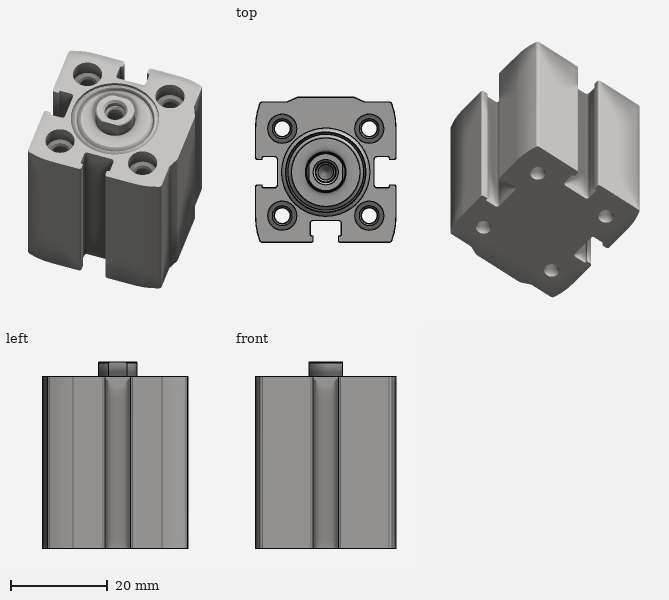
import cadquery as cq
import math

TOTAL_HEIGHT = 38.5
ROD_PROTRUSION = 3.0
HOUSING_HEIGHT = TOTAL_HEIGHT - ROD_PROTRUSION
HOUSING_WIDTH = 29.0
HALF_WIDTH = HOUSING_WIDTH / 2

SIDE_FLAT_HALF = 9.15
SIDE_CURVE_RADIUS = 14.45
CORNER_RADIUS = 0.65

BACK_RISE = 1.0
BACK_TOP_HALF = 5.75
BACK_BASE_HALF = 8.0
BACK_EDGE_RADIUS = 1.15

SLOT_OPENING = 5.2
SLOT_WIDTH = 6.4
SLOT_DEPTH = 4.5
SLOT_LIP = 1.4
SLOT_LIP_RADIUS = 0.45
SLOT_BACK_RADIUS = 0.58
SLOT_FRONT_RADIUS = 0.3

MOUNT_OFFSET = 8.97
COUNTERBORE_DIAMETER = 6.0
COUNTERBORE_DEPTH = 3.58
COUNTERSINK_DIAMETER = 4.12
THROUGH_DIAMETER = 3.25

GROOVE_OUTER_DIAMETER = 18.2
GROOVE_OUTER_DEPTH = 0.7
RIDGE_OUTER_DIAMETER = 16.6
RIDGE_INNER_DIAMETER = 16.4
RIDGE_DEPTH = 0.25
RIDGE_FOOT_DIAMETER = 16.0
RIDGE_FOOT_DEPTH = 0.45
VALLEY_DIAMETER = 15.65
VALLEY_DEPTH = 0.77
FACE_EDGE_DIAMETER = 14.4
FACE_EDGE_DEPTH = 0.35
FACE_DIAMETER = 14.1
FACE_DEPTH = 0.27

ROD_DIAMETER = 8.0
ROD_LENGTH = 19.25
ROD_CHAMFER = 0.2
ROD_HOLE_CHAMFER = 0.2
ROD_FLATS_WIDTH = 7.0
ROD_FLATS_LENGTH = 4.25
FLAT_RUNOUT_ANGLE = 30.0

BORE_MOUTH_DIAMETER = 5.2
BORE_DIAMETER = 4.3
BORE_DEPTH = 1.55
LEDGE_DIAMETER = 4.0
PILOT_DIAMETER = 3.25
PILOT_DEPTH = 6.93
DRILL_TIP_ANGLE = 118.0


def revolved(points):
    """Solid of revolution about Z from (diameter, height) points that start and end on the axis."""
    outline = [(diameter / 2, height) for diameter, height in points]
    return cq.Workplane("XZ").polyline(outline).close().revolve(360, (0, 0), (0, 1))


def housing_block():
    """Extruded outline with curved side ends, rounded corners and the raised back."""
    curve_rise = HALF_WIDTH - SIDE_FLAT_HALF
    full_angle = math.asin(curve_rise / SIDE_CURVE_RADIUS)

    def curve_point(angle):
        x = HALF_WIDTH - SIDE_CURVE_RADIUS * (1 - math.cos(angle))
        y = SIDE_FLAT_HALF + SIDE_CURVE_RADIUS * math.sin(angle)
        return x, y

    mid_x, mid_y = curve_point(full_angle / 2)
    end_x, end_y = curve_point(full_angle)
    block = (
        cq.Workplane("XY")
        .moveTo(HALF_WIDTH, -SIDE_FLAT_HALF)
        .lineTo(HALF_WIDTH, SIDE_FLAT_HALF)
        .threePointArc((mid_x, mid_y), (end_x, end_y))
        .lineTo(-end_x, end_y)
        .threePointArc((-mid_x, mid_y), (-HALF_WIDTH, SIDE_FLAT_HALF))
        .lineTo(-HALF_WIDTH, -SIDE_FLAT_HALF)
        .threePointArc((-mid_x, -mid_y), (-end_x, -end_y))
        .lineTo(end_x, -end_y)
        .threePointArc((mid_x, -mid_y), (HALF_WIDTH, -SIDE_FLAT_HALF))
        .close()
        .extrude(HOUSING_HEIGHT)
    )
    block = block.edges("|Z").edges(">Y or <Y").fillet(CORNER_RADIUS)
    raised_back = (
        cq.Workplane("XY")
        .polyline([
            (-BACK_BASE_HALF, 0),
            (-BACK_BASE_HALF, HALF_WIDTH),
            (-BACK_TOP_HALF, HALF_WIDTH + BACK_RISE),
            (BACK_TOP_HALF, HALF_WIDTH + BACK_RISE),
            (BACK_BASE_HALF, HALF_WIDTH),
            (BACK_BASE_HALF, 0),
        ])
        .close()
        .extrude(HOUSING_HEIGHT)
        .edges("|Z and >Y")
        .fillet(BACK_EDGE_RADIUS)
    )
    return block.union(raised_back)


def t_slot(angle):
    """Cutter for one T-slot in the -Y side, turned about Z by the angle."""
    lip_centre = -HALF_WIDTH + SLOT_LIP / 2
    inner_depth = SLOT_DEPTH - SLOT_LIP
    inner_centre = -HALF_WIDTH + SLOT_LIP + inner_depth / 2
    inner = (
        cq.Workplane("XY")
        .center(0, inner_centre)
        .rect(SLOT_WIDTH, inner_depth)
        .extrude(HOUSING_HEIGHT)
        .edges("|Z and >Y")
        .fillet(SLOT_BACK_RADIUS)
        .edges("|Z and <Y")
        .fillet(SLOT_FRONT_RADIUS)
    )
    opening = cq.Workplane("XY").center(0, lip_centre).rect(SLOT_OPENING, SLOT_LIP).extrude(HOUSING_HEIGHT)
    mouth_half = SLOT_OPENING / 2 + SLOT_LIP_RADIUS
    mouth = (
        cq.Workplane("XY")
        .center(0, -HALF_WIDTH + SLOT_LIP_RADIUS / 2)
        .rect(2 * mouth_half, SLOT_LIP_RADIUS)
        .extrude(HOUSING_HEIGHT)
    )
    lip_rounds = (
        cq.Workplane("XY")
        .pushPoints([(side * mouth_half, -HALF_WIDTH + SLOT_LIP_RADIUS) for side in (-1, 1)])
        .circle(SLOT_LIP_RADIUS)
        .extrude(HOUSING_HEIGHT)
    )
    cutter = inner.union(opening).union(mouth.cut(lip_rounds))
    return cutter.rotate((0, 0, 0), (0, 0, 1), angle)


def mounting_hole(x, y):
    """Cutter for one mounting hole, from the top face to the bottom face."""
    floor = HOUSING_HEIGHT - COUNTERBORE_DEPTH
    sink_bottom = floor - (COUNTERSINK_DIAMETER - THROUGH_DIAMETER) / 2
    cutter = revolved([
        (0, HOUSING_HEIGHT),
        (COUNTERBORE_DIAMETER, HOUSING_HEIGHT),
        (COUNTERBORE_DIAMETER, floor),
        (COUNTERSINK_DIAMETER, floor),
        (THROUGH_DIAMETER, sink_bottom),
        (THROUGH_DIAMETER, 0),
        (0, 0),
    ])
    return cutter.translate((x, y, 0))


def rod_opening():
    """Cutter for the ring groove, the recessed face and the chamfered rod hole."""
    face = HOUSING_HEIGHT - FACE_DEPTH
    return revolved([
        (0, HOUSING_HEIGHT),
        (GROOVE_OUTER_DIAMETER, HOUSING_HEIGHT),
        (GROOVE_OUTER_DIAMETER, HOUSING_HEIGHT - GROOVE_OUTER_DEPTH),
        (RIDGE_OUTER_DIAMETER, HOUSING_HEIGHT - RIDGE_DEPTH),
        (RIDGE_INNER_DIAMETER, HOUSING_HEIGHT - RIDGE_DEPTH),
        (RIDGE_FOOT_DIAMETER, HOUSING_HEIGHT - RIDGE_FOOT_DEPTH),
        (VALLEY_DIAMETER, HOUSING_HEIGHT - VALLEY_DEPTH),
        (FACE_EDGE_DIAMETER, HOUSING_HEIGHT - FACE_EDGE_DEPTH),
        (FACE_DIAMETER, face),
        (ROD_DIAMETER + 2 * ROD_HOLE_CHAMFER, face),
        (ROD_DIAMETER, face - ROD_HOLE_CHAMFER),
        (ROD_DIAMETER, TOTAL_HEIGHT - ROD_LENGTH),
        (0, TOTAL_HEIGHT - ROD_LENGTH),
    ])


def make_housing():
    body = housing_block()
    for angle in (-90, 0, 90):
        body = body.cut(t_slot(angle))
    for x in (-MOUNT_OFFSET, MOUNT_OFFSET):
        for y in (-MOUNT_OFFSET, MOUNT_OFFSET):
            body = body.cut(mounting_hole(x, y))
    return body.cut(rod_opening())


def rod_flat_cutter():
    """Cutter for the flat on the +X side of the rod, ending in a sloped run-out."""
    flat_x = ROD_FLATS_WIDTH / 2
    rod_radius = ROD_DIAMETER / 2
    flat_bottom = TOTAL_HEIGHT - ROD_FLATS_LENGTH
    runout_drop = (rod_radius - flat_x) * math.tan(math.radians(FLAT_RUNOUT_ANGLE))
    return (
        cq.Workplane("XZ")
        .polyline([
            (flat_x, TOTAL_HEIGHT),
            (flat_x, flat_bottom),
            (rod_radius, flat_bottom - runout_drop),
            (rod_radius, TOTAL_HEIGHT),
        ])
        .close()
        .extrude(rod_radius, both=True)
    )


def rod_bore():
    """Cutter for the countersunk, stepped bore with a drill tip."""
    mouth_depth = (BORE_MOUTH_DIAMETER - BORE_DIAMETER) / 2
    ledge = TOTAL_HEIGHT - BORE_DEPTH
    pilot_top = ledge - (LEDGE_DIAMETER - PILOT_DIAMETER) / 2
    pilot_bottom = TOTAL_HEIGHT - PILOT_DEPTH
    tip_length = PILOT_DIAMETER / 2 / math.tan(math.radians(DRILL_TIP_ANGLE / 2))
    return revolved([
        (0, TOTAL_HEIGHT),
        (BORE_MOUTH_DIAMETER, TOTAL_HEIGHT),
        (BORE_DIAMETER, TOTAL_HEIGHT - mouth_depth),
        (BORE_DIAMETER, ledge),
        (LEDGE_DIAMETER, ledge),
        (PILOT_DIAMETER, pilot_top),
        (PILOT_DIAMETER, pilot_bottom),
        (0, pilot_bottom - tip_length),
    ])


def make_rod():
    rod_body = (
        cq.Workplane("XY", origin=(0, 0, TOTAL_HEIGHT - ROD_LENGTH))
        .circle(ROD_DIAMETER / 2)
        .extrude(ROD_LENGTH)
        .faces(">Z")
        .edges()
        .chamfer(ROD_CHAMFER)
    )
    flat = rod_flat_cutter()
    rod_body = rod_body.cut(flat).cut(flat.mirror("YZ"))
    return rod_body.cut(rod_bore())


housing = make_housing()
rod = make_rod()
result = cq.Compound.makeCompound([housing.val(), rod.val()])